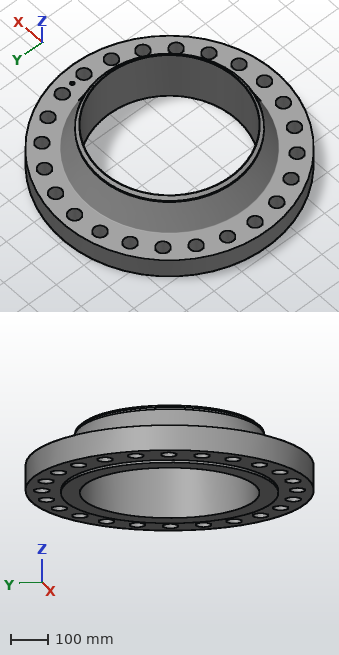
import cadquery as cq
import math


flange_diameter = 774.5
flange_thickness = 70.0
raised_face_diameter = 584.0
raised_face_height = 7.0

total_height = 174.0
bore_diameter = 482.5
hub_base_diameter = 587.0
hub_fillet_radius = 3.0
weld_end_diameter = 508.0
weld_end_height = 5.5

bevel_angle = 37.5
rim_width = 1.5

bolt_count = 24
bolt_circle_diameter = 686.0
bolt_hole_diameter = 42.0

countersink_diameter = 12.5
small_hole_diameter = 8.0
small_hole_depth = 15.5

flange_top = raised_face_height + flange_thickness
rim_radius = bore_diameter / 2 + rim_width
bevel_height = (weld_end_diameter / 2 - rim_radius) * math.tan(math.radians(bevel_angle))
bevel_start = total_height - bevel_height
weld_end_start = bevel_start - weld_end_height
countersink_depth = (countersink_diameter - small_hole_diameter) / 2
bolt_pitch_angle = 360.0 / bolt_count


def make_body():
    """Revolve the half section, given as (radius, height) points, about Z."""
    section = [
        (bore_diameter / 2, 0),
        (raised_face_diameter / 2, 0),
        (raised_face_diameter / 2, raised_face_height),
        (flange_diameter / 2, raised_face_height),
        (flange_diameter / 2, flange_top),
        (hub_base_diameter / 2, flange_top),
        (weld_end_diameter / 2, weld_end_start),
        (weld_end_diameter / 2, bevel_start),
        (rim_radius, total_height),
        (bore_diameter / 2, total_height),
    ]
    body = cq.Workplane("XZ").polyline(section).close().revolve(360, (0, 0), (0, 1))
    reach = hub_base_diameter / 2 + hub_fillet_radius
    hub_foot = cq.selectors.BoxSelector(
        (-reach, -reach, flange_top - hub_fillet_radius),
        (reach, reach, flange_top + hub_fillet_radius),
        boundingbox=True,
    )
    return body.edges(hub_foot).fillet(hub_fillet_radius)


def make_bolt_holes():
    """Cylinders through the disc, evenly spaced from the +X axis."""
    return (
        cq.Workplane("XY")
        .polarArray(bolt_circle_diameter / 2, 0, 360, bolt_count)
        .circle(bolt_hole_diameter / 2)
        .extrude(flange_top)
    )


def make_small_hole():
    """Blind hole with a conical countersink, half a bolt pitch from +X."""
    section = [
        (0, 0),
        (countersink_diameter / 2, 0),
        (small_hole_diameter / 2, -countersink_depth),
        (small_hole_diameter / 2, -small_hole_depth),
        (0, -small_hole_depth),
    ]
    cutter = cq.Workplane("XZ").polyline(section).close().revolve(360, (0, 0), (0, 1))
    return (
        cutter.translate((bolt_circle_diameter / 2, 0, flange_top))
        .rotate((0, 0, 0), (0, 0, 1), bolt_pitch_angle / 2)
    )


result = make_body().cut(make_bolt_holes()).cut(make_small_hole())